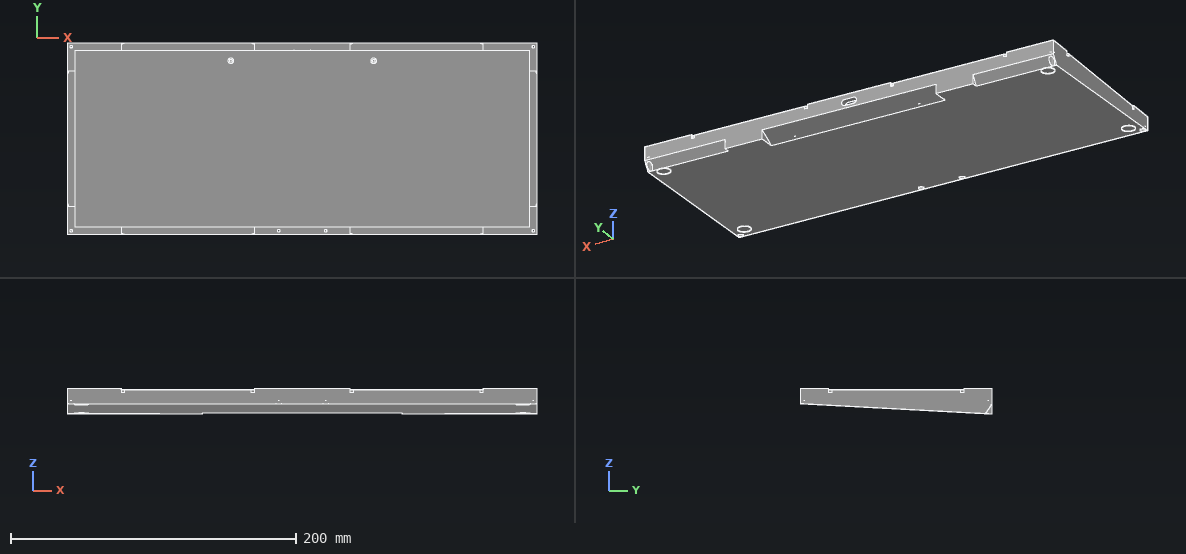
import cadquery as cq

length = 329.3
width = 134.5
rear_height = 18.0
front_height = 11.0
half_length = length / 2
half_width = width / 2
underside_rise = rear_height - front_height

wall = 5.3
floor_z = 8.2

rear_cut_height = 7.2
end_cut_run = 4.5
middle_cut_run = 13.2
foot_length = 30.0
foot_x = 85.0

notch_depth = 1.0
long_notch_inner = 33.5
long_notch_outer = 126.8
side_notch_half = 47.5

relief_run = 2.3
relief_depth = 1.0
relief_height = 2.0

screw_diameter = 1.6
head_diameter = 4.0
head_top_z = 9.5
front_screw_x = 16.5

floor_hole_diameter = 4.0
floor_hole_depth = 2.0
pilot_diameter = 2.0
pilot_depth = 6.0
floor_hole_x = 50.0
floor_hole_y = 54.5

pad_diameter = 10.0
pad_depth = 0.5
pad_inset = 10.0

slot_length = 12.0
slot_height = 4.5
slot_z = 12.0


def box_between(x_range, y_range, z_range):
    """Axis-aligned box spanning the three (low, high) ranges."""
    size = [high - low for low, high in (x_range, y_range, z_range)]
    corner = (x_range[0], y_range[0], z_range[0])
    return cq.Workplane("XY").box(*size, centered=False).translate(corner)


def prism_along_x(points, x_low, x_high):
    """Prism between two X positions from (Y, Z) outline points."""
    outline = cq.Workplane("YZ", origin=(x_low, 0, 0)).polyline(points).close()
    return outline.extrude(x_high - x_low)


def vertical_cylinder(diameter, x, y, z_low, z_high):
    circle = cq.Workplane("XY", origin=(x, y, z_low)).circle(diameter / 2)
    return circle.extrude(z_high - z_low)


def make_wedge():
    outline = [
        (-half_width, underside_rise),
        (half_width, 0),
        (half_width, rear_height),
        (-half_width, rear_height),
    ]
    return prism_along_x(outline, -half_length, half_length)


def make_cavity():
    return box_between(
        (wall - half_length, half_length - wall),
        (wall - half_width, half_width - wall),
        (floor_z, rear_height),
    )


def make_rear_cut(run, x_low, x_high):
    """Slanted cut off the lower rear edge, reaching the given run under the tray."""
    outline = [
        (half_width, rear_cut_height),
        (half_width - run, underside_rise * run / width),
        (half_width - run, 0),
        (half_width, 0),
    ]
    return prism_along_x(outline, x_low, x_high)


def make_notch(start, end, face_distance):
    """Rim notch from start to end in X, in a wall whose outer face is at Y = -face_distance."""
    notch_z = rear_height - notch_depth
    notch = box_between((start, end), (-face_distance, wall - face_distance), (notch_z, rear_height))
    for edge, run in ((start, relief_run), (end, -relief_run)):
        outline = [
            (edge, -face_distance),
            (edge + run, -face_distance),
            (edge, relief_depth - face_distance),
        ]
        base = cq.Workplane("XY", origin=(0, 0, notch_z - relief_height))
        notch = notch.union(base.polyline(outline).close().extrude(relief_height))
    return notch


def turned(shape, angle):
    return shape.rotate((0, 0, 0), (0, 0, 1), angle)


result = make_wedge().cut(make_cavity())

foot_inner_x = foot_x - foot_length / 2
foot_outer_x = foot_x + foot_length / 2
result = result.cut(make_rear_cut(middle_cut_run, -foot_inner_x, foot_inner_x))
result = result.cut(make_rear_cut(end_cut_run, -half_length, -foot_outer_x))
result = result.cut(make_rear_cut(end_cut_run, foot_outer_x, half_length))

front_notches = [
    make_notch(-long_notch_outer, -long_notch_inner, half_width),
    make_notch(long_notch_inner, long_notch_outer, half_width),
]
side_notch = make_notch(-side_notch_half, side_notch_half, half_length)
for notch in front_notches + [turned(side_notch, 90)]:
    result = result.cut(notch).cut(turned(notch, 180))

screw_x = half_length - wall / 2
screw_y = half_width - wall / 2
screw_places = [(x, y) for x in (-screw_x, screw_x) for y in (-screw_y, screw_y)]
screw_places += [(-front_screw_x, -screw_y), (front_screw_x, -screw_y)]
for x, y in screw_places:
    result = result.cut(vertical_cylinder(screw_diameter, x, y, 0, rear_height))
    result = result.cut(vertical_cylinder(head_diameter, x, y, 0, head_top_z))

for x in (-floor_hole_x, floor_hole_x):
    for diameter, depth in ((floor_hole_diameter, floor_hole_depth), (pilot_diameter, pilot_depth)):
        hole = vertical_cylinder(diameter, x, floor_hole_y, floor_z - depth, floor_z)
        result = result.cut(hole)

underside = cq.Plane(
    origin=(0, half_width, 0), xDir=(1, 0, 0), normal=(0, underside_rise, width)
)
pad_x = half_length - pad_inset
pad_places = [(x, y) for x in (-pad_x, pad_x) for y in (-pad_inset, pad_inset - width)]
pads = cq.Workplane(underside).pushPoints(pad_places).circle(pad_diameter / 2).extrude(pad_depth)
result = result.cut(pads)

slot_start = cq.Workplane("XZ", origin=(0, half_width, slot_z))
result = result.cut(slot_start.slot2D(slot_length, slot_height).extrude(wall))